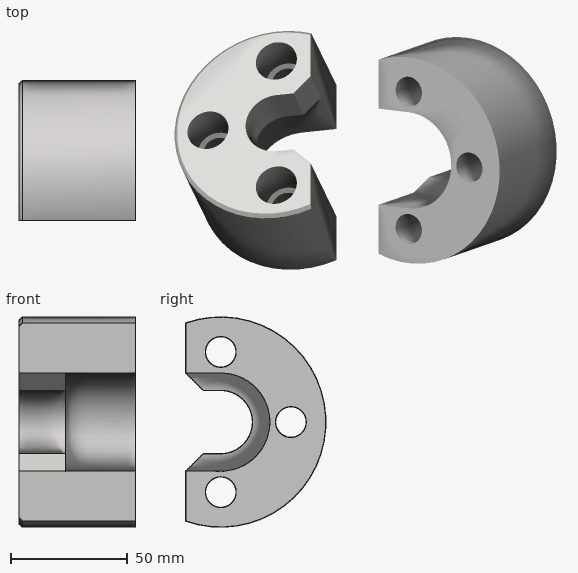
import cadquery as cq

length = 50.0
outer_radius = 45.0
flat_offset = 15.0
edge_chamfer = 1.5

narrow_radius = 13.5
wide_radius = 21.0
narrow_length = 20.0
lead_in = wide_radius - narrow_radius

bolt_circle_radius = 30.0
hole_diameter = 13.0
counterbore_diameter = 18.0
counterbore_depth = 20.0
hole_centers = [
    (bolt_circle_radius, 0),
    (0, bolt_circle_radius),
    (0, -bolt_circle_radius),
]


def make_body():
    """Disc with a chamfered -X rim, trimmed flat at y = -flat_offset."""
    disc = cq.Workplane("YZ").circle(outer_radius).extrude(length)
    disc = disc.faces("<X").edges().chamfer(edge_chamfer)
    kept_region = cq.Workplane("XY").box(
        length, outer_radius + flat_offset, 2 * outer_radius, centered=(False, False, True)
    )
    return disc.intersect(kept_region.translate((0, -flat_offset, 0)))


def make_wide_slot():
    """U-shaped slot running from the narrow section to the +X end."""
    return (
        cq.Workplane("YZ", origin=(narrow_length, 0, 0))
        .moveTo(-flat_offset, -wide_radius)
        .lineTo(0, -wide_radius)
        .threePointArc((wide_radius, 0), (0, wide_radius))
        .lineTo(-flat_offset, wide_radius)
        .close()
        .extrude(length - narrow_length)
    )


def make_narrow_slot():
    """U-shaped slot whose 45 degree mouth opens to the width of the wide slot."""
    mouth_start = lead_in - flat_offset
    return (
        cq.Workplane("YZ")
        .moveTo(-flat_offset, -wide_radius)
        .lineTo(mouth_start, -narrow_radius)
        .lineTo(0, -narrow_radius)
        .threePointArc((narrow_radius, 0), (0, narrow_radius))
        .lineTo(mouth_start, narrow_radius)
        .lineTo(-flat_offset, wide_radius)
        .close()
        .extrude(narrow_length)
    )


def make_bolt_holes():
    """Through holes with counterbores entering from the -X face."""
    plane = cq.Workplane("YZ").pushPoints(hole_centers)
    through_holes = plane.circle(hole_diameter / 2).extrude(length)
    counterbores = plane.circle(counterbore_diameter / 2).extrude(counterbore_depth)
    return through_holes.union(counterbores)


result = (
    make_body()
    .cut(make_wide_slot())
    .cut(make_narrow_slot())
    .cut(make_bolt_holes())
)